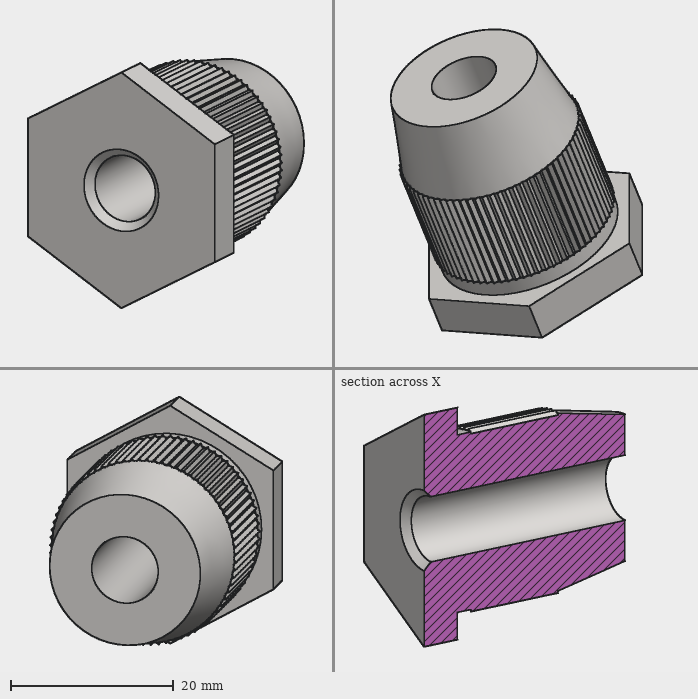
import cadquery as cq
import math

LENGTH = 30.0
HEX_SIDES = 6
HEX_ACROSS_CORNERS = 30.0
FIRST_CORNER_ANGLE = math.radians(90)
HEAD_THICKNESS = 5.0

BODY_DIAMETER = 23.0
NECK_LENGTH = 2.0
KNURL_LENGTH = 13.0
TIP_DIAMETER = 19.0

KNURL_TEETH = 75
TOOTH_DEPTH = 0.5
KNURL_CREST_RADIUS = (BODY_DIAMETER + TOOTH_DEPTH) / 2
KNURL_ROOT_RADIUS = (BODY_DIAMETER - TOOTH_DEPTH) / 2
FIRST_CREST_ANGLE = math.radians(-90)

BORE_DIAMETER = 8.38
COUNTERSINK_DEPTH = 1.0

KNURL_START = HEAD_THICKNESS + NECK_LENGTH
KNURL_END = KNURL_START + KNURL_LENGTH


def plane_at(y):
    """Workplane across the axis at the given y, with local x along -X and local y along +Z."""
    return cq.Workplane(cq.Plane(origin=(0, y, 0), xDir=(-1, 0, 0), normal=(0, 1, 0)))


def revolve_about_axis(profile):
    """Revolve a closed (radius, y) profile about the Y axis."""
    return profile.close().revolve(360, (0, 0, 0), (0, 1, 0))


def polar(radius, angle):
    return (radius * math.cos(angle), radius * math.sin(angle))


def make_head():
    corners = []
    for corner in range(HEX_SIDES):
        angle = FIRST_CORNER_ANGLE + corner * 2 * math.pi / HEX_SIDES
        corners.append(polar(HEX_ACROSS_CORNERS / 2, angle))
    return plane_at(0).polyline(corners).close().extrude(HEAD_THICKNESS)


def make_neck():
    return plane_at(HEAD_THICKNESS).circle(BODY_DIAMETER / 2).extrude(NECK_LENGTH)


def make_knurl():
    pitch = 2 * math.pi / KNURL_TEETH
    outline = []
    for tooth in range(KNURL_TEETH):
        crest_angle = FIRST_CREST_ANGLE + tooth * pitch
        outline.append(polar(KNURL_CREST_RADIUS, crest_angle))
        outline.append(polar(KNURL_ROOT_RADIUS, crest_angle + pitch / 2))
    return plane_at(KNURL_START).polyline(outline).close().extrude(KNURL_LENGTH)


def make_nose():
    profile = (
        cq.Workplane("XY")
        .moveTo(0, KNURL_END)
        .lineTo(BODY_DIAMETER / 2, KNURL_END)
        .lineTo(TIP_DIAMETER / 2, LENGTH)
        .lineTo(0, LENGTH)
    )
    return revolve_about_axis(profile)


def make_bore():
    bore_radius = BORE_DIAMETER / 2
    sink_radius = bore_radius + COUNTERSINK_DEPTH
    profile = (
        cq.Workplane("XY")
        .lineTo(sink_radius, 0)
        .lineTo(bore_radius, COUNTERSINK_DEPTH)
        .lineTo(bore_radius, LENGTH)
        .lineTo(0, LENGTH)
    )
    return revolve_about_axis(profile)


body = make_head().union(make_neck()).union(make_knurl()).union(make_nose())
result = body.cut(make_bore())